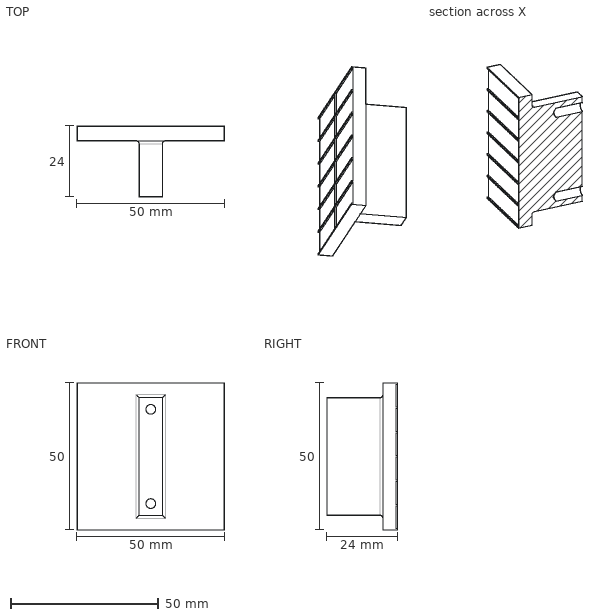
import cadquery as cq
import math

plate_side = 50
plate_thickness = 5

handle_width = 8
handle_height = 40
handle_length = 19
root_fillet = 1

hole_diameter = 3.3
hole_offset = 16
hole_depth = 10
drill_point_angle = 118

rib_count = 7
rib_thickness = 0.5
rib_height = 0.5

plate_front = -plate_thickness
handle_end = plate_front - handle_length

channel_count = rib_count - 1
channel_height = (plate_side - rib_count * rib_thickness) / channel_count
channel_pitch = channel_height + rib_thickness
channel_length = (plate_side - rib_thickness) / 2
channel_offset = (rib_thickness + channel_length) / 2


def make_plate():
    """Plain square plate."""
    plate = cq.Workplane("XY").box(plate_side, plate_thickness, plate_side)
    return plate.translate((0, plate_front / 2, 0))


def add_handle(body):
    """Join the handle to the plate and fillet the corner around its root."""
    handle = cq.Workplane("XY").box(handle_width, handle_length, handle_height)
    handle = handle.translate((0, plate_front - handle_length / 2, 0))
    root_edges = cq.selectors.BoxSelector(
        (-handle_width, plate_front - root_fillet, -handle_height / 2 - root_fillet),
        (handle_width, plate_front + root_fillet, handle_height / 2 + root_fillet),
    )
    return body.union(handle).edges(root_edges).fillet(root_fillet)


def make_drilled_hole(z):
    """Solid of a blind hole along Y: a cylinder ending in a drill point."""
    radius = hole_diameter / 2
    point_length = radius / math.tan(math.radians(drill_point_angle / 2))
    hole_bottom = handle_end + hole_depth
    return (
        cq.Workplane("XY")
        .moveTo(0, handle_end)
        .lineTo(radius, handle_end)
        .lineTo(radius, hole_bottom)
        .lineTo(0, hole_bottom + point_length)
        .close()
        .revolve(360, (0, 0, 0), (0, 1, 0))
        .translate((0, 0, z))
    )


def make_channels():
    """Solids of all the channels: two columns, open at the left and right sides of the plate."""
    return (
        cq.Workplane("XZ")
        .rarray(2 * channel_offset, channel_pitch, 2, channel_count)
        .rect(channel_length, channel_height)
        .extrude(rib_height)
    )


result = add_handle(make_plate())
for hole_z in (-hole_offset, hole_offset):
    result = result.cut(make_drilled_hole(hole_z))
result = result.cut(make_channels())